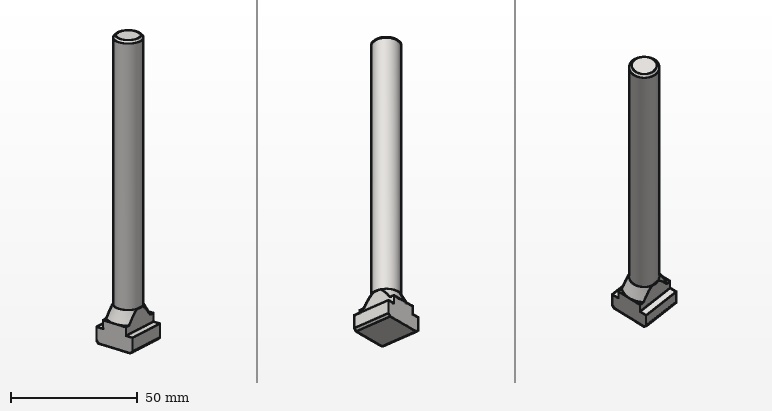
import cadquery as cq

total_length = 132.0
head_width = 18.0
head_height = 7.0
head_chamfer = 1.0
neck_width = 11.5
neck_block_top = 10.7
shank_start = 16.1
shank_diameter = 12.0
tip_chamfer = 1.0


def make_head():
    """Square head with its two lower side edges chamfered."""
    block = cq.Workplane("XY").box(head_width, head_width, head_height, centered=(True, True, False))
    return block.faces("<Z").edges("|Y").chamfer(head_chamfer)


def make_neck():
    """Flat-sided neck: a straight block, then a cone tapering to the shank."""
    block = cq.Workplane("XY").box(neck_width, head_width, neck_block_top, centered=(True, True, False))
    cone = cq.Workplane("XY").add(
        cq.Solid.makeCone(
            head_width / 2,
            shank_diameter / 2,
            shank_start - neck_block_top,
            pnt=cq.Vector(0, 0, neck_block_top),
        )
    )
    side_limits = cq.Workplane("XY").box(neck_width, head_width, shank_start, centered=(True, True, False))
    return block.union(cone.intersect(side_limits))


def make_shank():
    """Round shank with a chamfered tip."""
    shank = (
        cq.Workplane("XY")
        .workplane(offset=shank_start)
        .circle(shank_diameter / 2)
        .extrude(total_length - shank_start)
    )
    return shank.faces(">Z").edges().chamfer(tip_chamfer)


result = make_head().union(make_neck()).union(make_shank())